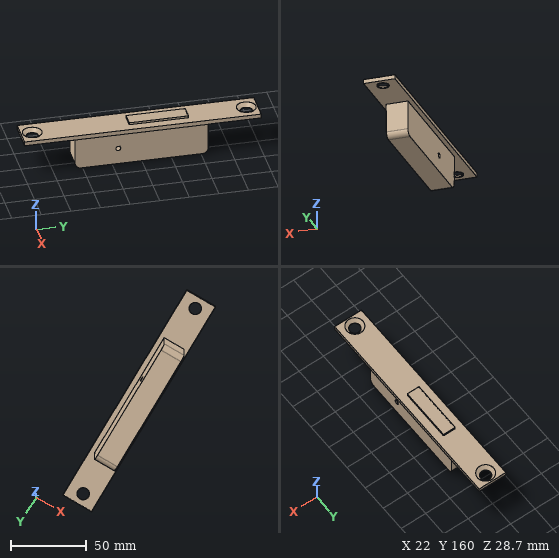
import cadquery as cq

plate_width = 22.0
plate_length = 160.0
plate_thickness = 3.0

screw_spacing = 144.6
screw_hole_diameter = 8.0
countersink_diameter = 13.1
countersink_angle = 90.0

case_width = 15.2
case_length = 90.0
case_height = 24.2
case_corner_radius = 4.0

pin_hole_diameter = 3.2
pin_hole_y = -15.8
pin_hole_depth = 12.5

bolt_width = 9.6
bolt_length = 40.0
bolt_height = 1.5
bolt_y = 12.2


def make_plate():
    """Flat plate with a countersunk hole at each end."""
    plate = cq.Workplane("XY").box(
        plate_width, plate_length, plate_thickness, centered=(True, True, False)
    )
    return (
        plate.faces(">Z")
        .workplane()
        .pushPoints([(0, -screw_spacing / 2), (0, screw_spacing / 2)])
        .cskHole(screw_hole_diameter, countersink_diameter, countersink_angle)
    )


def make_case():
    """Block with rounded lower ends and a cross hole along X."""
    case = (
        cq.Workplane("XY")
        .rect(case_width, case_length)
        .extrude(-case_height)
        .edges("<Z and |X")
        .fillet(case_corner_radius)
    )
    pin_hole = (
        cq.Workplane("YZ")
        .center(pin_hole_y, -pin_hole_depth)
        .circle(pin_hole_diameter / 2)
        .extrude(case_width / 2, both=True)
    )
    return case.cut(pin_hole)


def make_bolt():
    """Low rectangular pad standing on the plate."""
    return (
        cq.Workplane("XY", origin=(0, bolt_y, plate_thickness))
        .rect(bolt_width, bolt_length)
        .extrude(bolt_height)
    )


result = make_plate().union(make_case()).union(make_bolt())